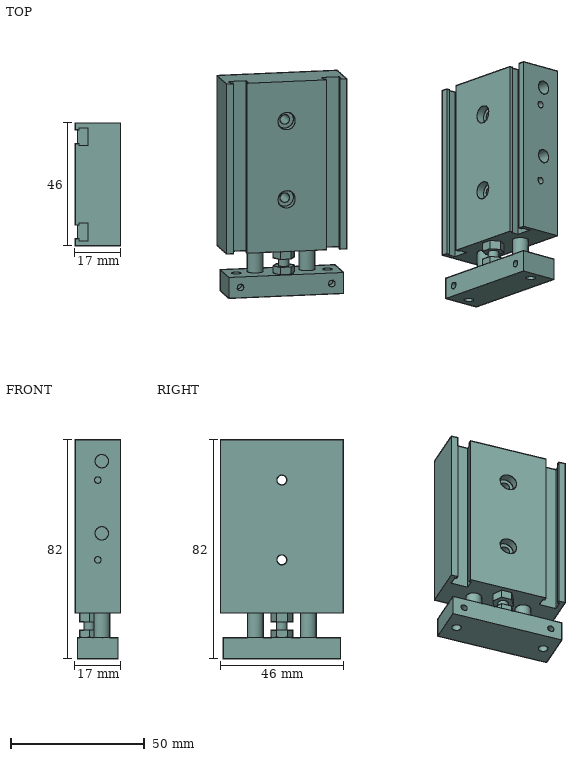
import cadquery as cq
import math

plate_x = 15.25
plate_y = 43.95
plate_height = 8.0
mount_hole_spacing = 34.9
mount_hole_diameter = 3.5
plate_side_hole_diameter = 2.5
plate_side_hole_depth = 4.1

rod_diameter = 6.0
rod_x = 1.5
rod_spacing = 19.85
rod_length = 9.1

overall_height = 82
housing_x = 17.0
housing_y = 46.0
housing_bottom = plate_height + rod_length
housing_height = overall_height - housing_bottom
slot_spacing = 35.6
slot_neck_width = 5.1
slot_neck_depth = 1.4
slot_width = 6.65
slot_depth = 4.75
cross_hole_drops = (15.1, 44.9)
bolt_hole_diameter = 3.6
counterbore_diameter = 6.6
counterbore_depth = 3.3
side_hole_diameter = 2.5
side_hole_depth = 4.9
port_diameter = 5.0
port_depth = 6.6
port_x = rod_x
port_drops = (8.0, 35.0)

bolt_x = -3.2
shank_diameter = 4.0
hex_across_flats = 7.1
hex_across_corners = hex_across_flats / math.cos(math.pi / 6)
head_height = 3.3
nut_height = 2.8
nut_chamfer_drop = 0.25
nut_chamfer_angle = 30


def both_sides(spacing):
    """Two positions placed symmetrically about zero."""
    return (-spacing / 2, spacing / 2)


def vertical_cylinder(x, y, bottom, diameter, height):
    return cq.Workplane("XY", origin=(x, y, bottom)).circle(diameter / 2).extrude(height)


def cylinder_from_left(start_x, y, z, diameter, depth):
    """Cylinder that runs from start_x in the +X direction."""
    return cq.Workplane("YZ", origin=(start_x, y, z)).circle(diameter / 2).extrude(depth)


def cylinder_from_front(x, z, diameter, depth):
    """Cylinder that runs from the housing's front face in the +Y direction."""
    front = cq.Workplane("XZ", origin=(x, -housing_y / 2, z))
    return front.circle(diameter / 2).extrude(-depth)


def left_face_channel(y, width, depth):
    """Full-height rectangular channel in the housing's -X face."""
    channel = cq.Workplane("XY").box(depth, width, housing_height, centered=(False, True, False))
    return channel.translate((-housing_x / 2, y, housing_bottom))


def make_housing():
    body = cq.Workplane("XY").box(housing_x, housing_y, housing_height, centered=(True, True, False))
    body = body.translate((0, 0, housing_bottom))

    for y in both_sides(slot_spacing):
        pocket = left_face_channel(y, slot_width, slot_depth - slot_neck_depth)
        body = body.cut(left_face_channel(y, slot_neck_width, slot_neck_depth))
        body = body.cut(pocket.translate((slot_neck_depth, 0, 0)))

    for drop in cross_hole_drops:
        z = overall_height - drop
        body = body.cut(cylinder_from_left(-housing_x / 2, 0, z, bolt_hole_diameter, housing_x))
        body = body.cut(cylinder_from_left(-housing_x / 2, 0, z, counterbore_diameter, counterbore_depth))
        body = body.cut(cylinder_from_front(0, z, side_hole_diameter, side_hole_depth))

    for drop in port_drops:
        body = body.cut(cylinder_from_front(port_x, overall_height - drop, port_diameter, port_depth))
    return body


def make_rod_plate():
    body = cq.Workplane("XY").box(plate_x, plate_y, plate_height, centered=(True, True, False))
    for y in both_sides(rod_spacing):
        body = body.union(vertical_cylinder(rod_x, y, plate_height, rod_diameter, rod_length))

    for y in both_sides(mount_hole_spacing):
        body = body.cut(vertical_cylinder(0, y, 0, mount_hole_diameter, plate_height))
        side_hole = cylinder_from_left(
            -plate_x / 2, y, plate_height / 2, plate_side_hole_diameter, plate_side_hole_depth
        )
        body = body.cut(side_hole)
    return body


def hex_prism(bottom, height):
    """Hexagon around the bolt axis, with two corners on the Y direction."""
    base = cq.Workplane("XY", origin=(bolt_x, 0, bottom))
    return base.transformed(rotate=(0, 0, 90)).polygon(6, hex_across_corners).extrude(height)


def make_stop_bolt():
    corner_radius = hex_across_corners / 2
    chamfer_run = nut_chamfer_drop / math.tan(math.radians(nut_chamfer_angle))
    nut_envelope = (
        cq.Workplane("XZ")
        .moveTo(0, 0)
        .lineTo(corner_radius - chamfer_run, 0)
        .lineTo(corner_radius, nut_chamfer_drop)
        .lineTo(corner_radius, nut_height)
        .lineTo(0, nut_height)
        .close()
        .revolve(360, (0, 0, 0), (0, 1, 0))
        .translate((bolt_x, 0, plate_height))
    )
    nut = hex_prism(plate_height, nut_height).intersect(nut_envelope)
    head = hex_prism(housing_bottom - head_height, head_height)
    shank = vertical_cylinder(bolt_x, 0, plate_height, shank_diameter, rod_length)
    return shank.union(nut).union(head)


housing = make_housing()
rod_plate = make_rod_plate()
stop_bolt = make_stop_bolt()
result = cq.Compound.makeCompound([housing.val(), rod_plate.val(), stop_bolt.val()])